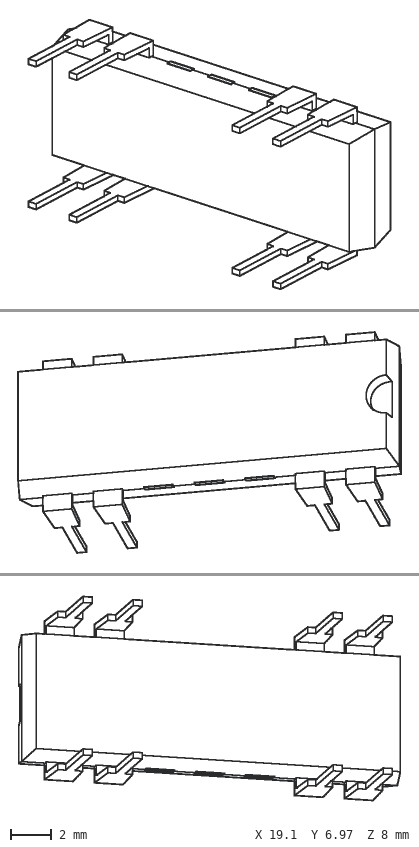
import cadquery as cq
import math

BODY_LENGTH = 19.1
BODY_WIDTH = 6.4
BODY_THICKNESS = 3.3
DRAFT_ANGLE = 10.0

NOTCH_RADIUS = 1.01
NOTCH_DEPTH = 0.75
NOTCH_TAPER_ANGLE = 5.0

LEAD_PITCH = 2.54
LEAD_SPAN = 8.0
STRIP_THICKNESS = 0.3
SHOULDER_WIDTH = 1.45
SHOULDER_END_WIDTH = 1.26
SHOULDER_LENGTH = 2.2
TAIL_WIDTH = 0.48
OVERALL_DEPTH = 6.97

FULL_LEAD_PLACES = (-3, -2, 2, 3)
CUT_LEAD_PLACES = (-1, 0, 1)

HALF_THICKNESS = BODY_THICKNESS / 2
STRIP_BACK = STRIP_THICKNESS / 2
TAIL_TIP = HALF_THICKNESS - OVERALL_DEPTH


def make_body():
    """Both drafted halves, widest at the parting plane."""
    parting_outline = cq.Workplane("XZ").rect(BODY_LENGTH, BODY_WIDTH)
    front_half = parting_outline.extrude(HALF_THICKNESS, taper=DRAFT_ANGLE)
    return front_half.union(front_half.mirror("XZ"))


def make_notch():
    """Tapered round cutter centred on the -X edge of the +Y face."""
    draft_inset = HALF_THICKNESS * math.tan(math.radians(DRAFT_ANGLE))
    return (
        cq.Workplane("XZ", origin=(0, HALF_THICKNESS, 0))
        .center(draft_inset - BODY_LENGTH / 2, 0)
        .circle(NOTCH_RADIUS)
        .extrude(NOTCH_DEPTH, taper=NOTCH_TAPER_ANGLE)
    )


def make_full_lead_pair(x):
    """Upper and lower bent leads made from one strip that passes through the body."""
    shoulder_end = STRIP_BACK - SHOULDER_LENGTH
    right_side = [
        (SHOULDER_WIDTH / 2, STRIP_BACK),
        (SHOULDER_END_WIDTH / 2, shoulder_end),
        (TAIL_WIDTH / 2, shoulder_end),
        (TAIL_WIDTH / 2, TAIL_TIP),
    ]
    left_side = [(-half_width, y) for half_width, y in reversed(right_side)]
    tall_lead = (
        cq.Workplane("XY", origin=(x, 0, 0))
        .polyline(right_side + left_side)
        .close()
        .extrude(LEAD_SPAN / 2, both=True)
    )
    inner_span = LEAD_SPAN - 2 * STRIP_THICKNESS
    clearance = (
        cq.Workplane("XY")
        .box(2 * SHOULDER_WIDTH, OVERALL_DEPTH, inner_span, centered=(True, False, True))
        .translate((x, -STRIP_BACK - OVERALL_DEPTH, 0))
    )
    return tall_lead.cut(clearance)


def make_cut_lead(x):
    """Straight strip that ends flush with the widest part of the body."""
    return cq.Workplane("XY", origin=(x, 0, 0)).box(SHOULDER_WIDTH, STRIP_THICKNESS, BODY_WIDTH)


result = make_body().cut(make_notch())

for place in FULL_LEAD_PLACES:
    result = result.union(make_full_lead_pair(place * LEAD_PITCH))

for place in CUT_LEAD_PLACES:
    result = result.union(make_cut_lead(place * LEAD_PITCH))